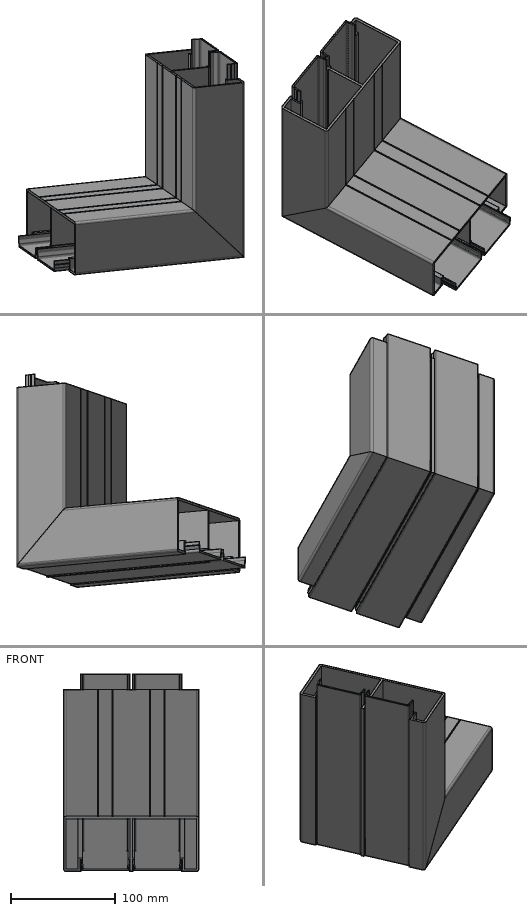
import cadquery as cq


overall_length = 189.5
duct_width = 130.0
duct_depth = 53.0
wall = 2.5
corner_radius = 2.5
lid_overhang = 14.8
duct_length = overall_length - lid_overhang

foot_width = 3.0
lip_thickness = 1.7
lip_outer_x = 51.0
lip_inner_x = lip_outer_x - lip_thickness
ledge_x = 48.3
lip_fillet = 0.5
hook_underside = 11.4
hook_thickness = 1.7
hook_top = hook_underside + hook_thickness
lip_hook_reach = 2.5
divider_hook_reach = 1.7

score_positions = (18.0, 31.8)
score_width = 0.8
score_depth = 0.4

lid_recess = 0.8
lid_thickness = 1.7
lid_edge_radius = 0.8
lid_inner_radius = 0.8
lid_half_width = 22.5
leg_flare = 0.8
leg_thickness = 1.3
barb_height = 0.4
flare_start = 4.2
barb_start = 7.4
barb_end = 8.1
leg_setback = 19.9
lid_center_x = wall / 2 + lid_half_width + leg_flare + barb_height


def bar(x_start, x_end, bottom, top, length):
    """Rectangular bar running from Y = 0 along -Y."""
    return (
        cq.Workplane("XY")
        .box(x_end - x_start, length, top - bottom, centered=False)
        .translate((x_start, -length, bottom))
    )


def mitre_waste():
    """Wedge beyond the 45-degree mitre plane of the lower duct."""
    return (
        cq.Workplane("YZ")
        .polyline([(0, 0), (0, duct_depth), (-duct_depth, duct_depth)])
        .close()
        .extrude(duct_width / 2, both=True)
    )


def swung_to_upper_arm(body):
    """Turn a body of the lower arm half a turn about the mitre line, onto the upper arm."""
    return body.rotate((0, 0, 0), (0, 1, -1), 180)


def lip_and_hook():
    """Lip beside the +X lid opening, with the hook that holds the lid."""
    lip = bar(lip_inner_x, lip_outer_x, wall, hook_top, duct_length)
    hook = bar(lip_inner_x - lip_hook_reach, lip_inner_x, hook_underside, hook_top, duct_length)
    return lip.union(hook)


def lip_root_edges():
    """Selects the two edges where the lips meet the pocket floors."""
    reach = 0.2
    left, right = [
        cq.selectors.BoxSelector(
            (x - reach, -duct_length, wall - reach),
            (x + reach, 0, wall + reach),
        )
        for x in (-lip_outer_x, lip_outer_x)
    ]
    return left + right


def make_duct():
    half_width = duct_width / 2
    duct = bar(-half_width, half_width, 0, duct_depth, duct_length).edges("|Y").fillet(corner_radius)

    channel = bar(wall / 2, half_width - wall, wall, duct_depth - wall, duct_length)
    opening = bar(foot_width / 2, ledge_x, 0, wall, duct_length)
    channel_and_opening = channel.union(opening)
    duct = duct.cut(channel_and_opening).cut(channel_and_opening.mirror("YZ"))

    lip = lip_and_hook()
    duct = duct.union(lip).union(lip.mirror("YZ"))
    duct = duct.edges(lip_root_edges()).fillet(lip_fillet)

    divider_hook_x = wall / 2 + divider_hook_reach
    duct = duct.union(bar(-divider_hook_x, divider_hook_x, hook_underside, hook_top, duct_length))

    for position in score_positions:
        for center in (-position, position):
            start = center - score_width / 2
            end = center + score_width / 2
            duct = duct.cut(bar(start, end, duct_depth - score_depth, duct_depth, duct_length))

    return duct.cut(mitre_waste())


def lid_leg():
    """Flared snap leg on the +X edge of a lid centred on X = 0."""
    base = lid_recess + lid_thickness
    foot_inner = lid_half_width - leg_thickness
    flared_outer = lid_half_width + leg_flare
    tip_inner = flared_outer - leg_thickness
    return (
        cq.Workplane("XZ")
        .moveTo(foot_inner, base)
        .lineTo(lid_half_width, base)
        .lineTo(lid_half_width, flare_start)
        .lineTo(flared_outer + barb_height, barb_start)
        .lineTo(flared_outer, barb_end)
        .lineTo(flared_outer, hook_underside)
        .lineTo(tip_inner, hook_underside)
        .lineTo(tip_inner, barb_end)
        .lineTo(foot_inner, flare_start)
        .lineTo(foot_inner, base + lid_inner_radius)
        .radiusArc((foot_inner - lid_inner_radius, base), lid_inner_radius)
        .close()
        .extrude(overall_length - leg_setback)
        .translate((0, -leg_setback, 0))
    )


def make_lid():
    """Lower-arm lid centred on X = 0: a mitred plate with two legs that stop short of the mitre."""
    plate = bar(-lid_half_width, lid_half_width, lid_recess, lid_recess + lid_thickness, overall_length)
    plate = plate.edges("|Y and <Z").fillet(lid_edge_radius)
    plate = plate.cut(mitre_waste())
    leg = lid_leg()
    return plate.union(leg).union(leg.mirror("YZ"))


lower_duct = make_duct()
upper_duct = swung_to_upper_arm(lower_duct)

lids = []
for center_x in (-lid_center_x, lid_center_x):
    lower_lid = make_lid().translate((center_x, 0, 0))
    lids.append(lower_lid.val())
    lids.append(swung_to_upper_arm(lower_lid).val())

result = cq.Compound.makeCompound([lower_duct.val(), upper_duct.val(), *lids])